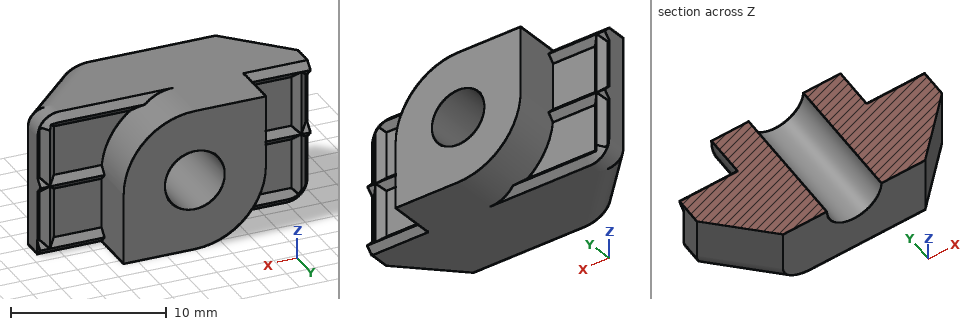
import cadquery as cq

plate_length = 18.96
width = 10.0
bevel = 3.99
side_height = 1.52
corner_radius = 1.5
boss_height = 3.0
boss_radius = width / 2
hole_diameter = 4.2
ridge_height = 0.5
cross_ridge_inset = 0.15
ridge_tip_overhang = 0.04

half_length = plate_length / 2
half_width = width / 2
floor_y = bevel + side_height
crest_y = floor_y + ridge_height
top_y = crest_y + boss_height
outer_ridge_z = half_width - ridge_height


def make_plate():
    """Bevelled plate with two opposite end corners rounded over their full height."""
    plate = (
        cq.Workplane("XY")
        .moveTo(bevel - half_length, 0)
        .lineTo(half_length - bevel, 0)
        .lineTo(half_length, bevel)
        .lineTo(half_length, floor_y)
        .lineTo(-half_length, floor_y)
        .lineTo(-half_length, bevel)
        .close()
        .extrude(half_width, both=True)
    )
    plate = plate.faces(">Z").edges(">>X[-1] or >>X[-2]").fillet(corner_radius)
    plate = plate.faces("<Z").edges(">>X[0] or >>X[1]").fillet(corner_radius)
    return plate


def make_boss():
    """Boss with two opposite quarters rounded to the full half width."""
    return (
        cq.Workplane("XZ", origin=(0, floor_y, 0))
        .moveTo(-boss_radius, boss_radius)
        .lineTo(0, boss_radius)
        .radiusArc((boss_radius, 0), boss_radius)
        .lineTo(boss_radius, -boss_radius)
        .lineTo(0, -boss_radius)
        .radiusArc((-boss_radius, 0), boss_radius)
        .close()
        .extrude(floor_y - top_y)
    )


def make_long_ridge(z, x_end):
    """Triangular ridge with 45 degree flanks from the -X plate end to x_end."""
    return (
        cq.Workplane("YZ", origin=(-half_length, 0, z))
        .moveTo(floor_y, -ridge_height)
        .lineTo(crest_y, 0)
        .lineTo(floor_y, ridge_height)
        .close()
        .extrude(x_end + half_length)
    )


def make_cross_ridge(x):
    """Triangular ridge along Z with 45 degree flanks, between the crests of the outer ridges."""
    return (
        cq.Workplane("XY")
        .moveTo(x - ridge_height, floor_y)
        .lineTo(x, crest_y)
        .lineTo(x + ridge_height, floor_y)
        .close()
        .extrude(outer_ridge_z, both=True)
    )


def make_corner_trim(side):
    """Waste outside the 45 degree cone that carries a rounded plate corner up to the crests."""
    center_x = side * (half_length - corner_radius)
    center_z = side * (half_width - corner_radius)
    block = cq.Workplane("XY").box(corner_radius, ridge_height, corner_radius).translate(
        (
            center_x + side * corner_radius / 2,
            floor_y + ridge_height / 2,
            center_z + side * corner_radius / 2,
        )
    )
    cone = cq.Solid.makeCone(
        corner_radius,
        corner_radius - ridge_height,
        ridge_height,
        cq.Vector(center_x, floor_y, center_z),
        cq.Vector(0, 1, 0),
    )
    return block.cut(cq.Workplane(cone))


def make_ridges():
    """Three long ridges and two cross ridges, trimmed at the rounded plate corners."""
    cross_x = half_length - cross_ridge_inset - ridge_height
    ridges = make_cross_ridge(cross_x).union(make_cross_ridge(-cross_x))
    for z in (outer_ridge_z, 0):
        ridges = ridges.union(make_long_ridge(z, half_length))
    ridges = ridges.union(make_long_ridge(-outer_ridge_z, half_length + ridge_tip_overhang))
    for side in (1, -1):
        ridges = ridges.cut(make_corner_trim(side))
    return ridges


hole = cq.Workplane("XZ").circle(hole_diameter / 2).extrude(-top_y)
result = make_plate().union(make_ridges()).union(make_boss()).cut(hole)